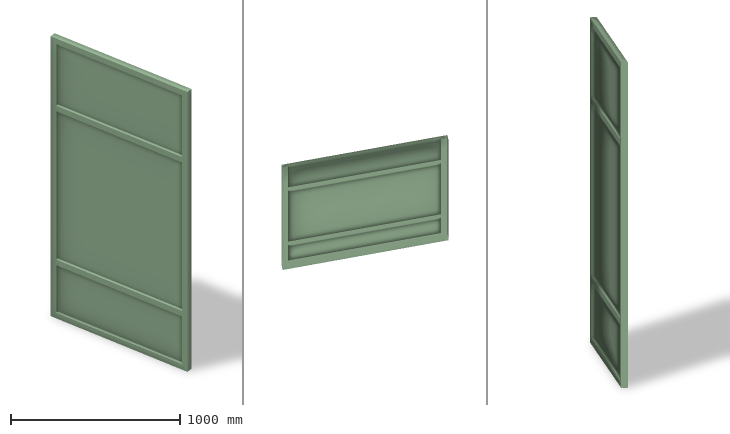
import cadquery as cq

WIDTH = 1000.0
DEPTH = 40.0
HEIGHT = 2000.0

BAR_WIDTH = 40.0

PANEL_RECESS = 18.0
PANEL_THICKNESS = DEPTH - 2 * PANEL_RECESS

BOTTOM_OPENING = 340.0
TOP_OPENING = 440.0
MIDDLE_OPENING = HEIGHT - 4 * BAR_WIDTH - BOTTOM_OPENING - TOP_OPENING
OPENING_HEIGHTS = [BOTTOM_OPENING, MIDDLE_OPENING, TOP_OPENING]
OPENING_WIDTH = WIDTH - 2 * BAR_WIDTH


def upright_block(width, depth, height, base_z):
    """Block centred on X and Y, standing on the level base_z."""
    return (
        cq.Workplane("XY")
        .workplane(offset=base_z)
        .box(width, depth, height, centered=(True, True, False))
    )


def opening_base(index):
    """Level of the sill of an opening: the rails and openings below it."""
    return (index + 1) * BAR_WIDTH + sum(OPENING_HEIGHTS[:index])


def make_frame():
    """Two stiles and four rails in one piece, around three through openings."""
    frame = upright_block(WIDTH, DEPTH, HEIGHT, 0)
    for index, height in enumerate(OPENING_HEIGHTS):
        frame = frame.cut(upright_block(OPENING_WIDTH, DEPTH, height, opening_base(index)))
    return frame


def make_panel(index):
    """Thin sheet that fills one opening, recessed equally on both faces."""
    return upright_block(OPENING_WIDTH, PANEL_THICKNESS, OPENING_HEIGHTS[index], opening_base(index))


frame = make_frame()
panels = [make_panel(index).val() for index in range(len(OPENING_HEIGHTS))]

result = cq.Compound.makeCompound([frame.val(), *panels])